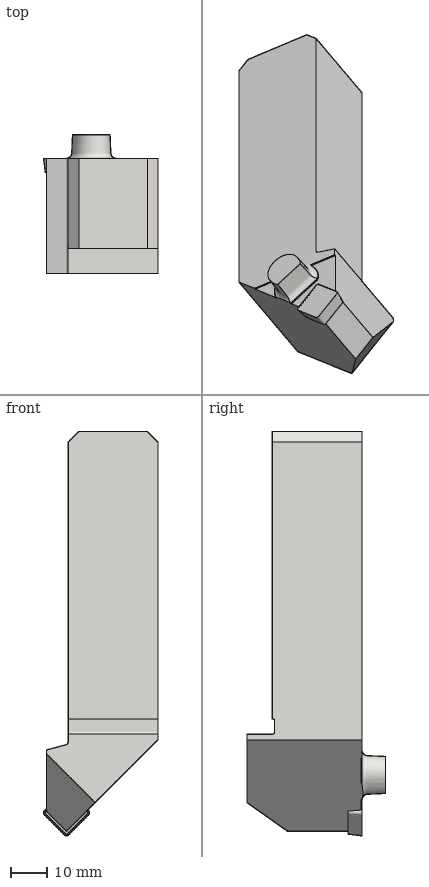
import cadquery as cq
import math

overall_length = 112.33

shank_width = 25.0
end_chamfer = 3.0

head_depth = 32.0
head_left = -6.0
head_shoulder = 23.9
shoulder_slope = 15.0
shoulder_fillet = 0.8
ledge_height = 28.3
ledge_fillet = 0.6
nose_bevel_depth = 11.3
neck_corner_z = head_shoulder - head_left * math.tan(math.radians(shoulder_slope))

relief_depth = 0.65
relief_top = 32.4
relief_fillet = 0.3

step_depth = 0.35
step_top = 21.6

insert_size = 9.525
insert_thickness = 3.97
insert_corner = 0.8
insert_flank_angle = 7.0
insert_left = -6.83
insert_half_diagonal = insert_size / math.sqrt(2) - insert_corner * (math.sqrt(2) - 1)
insert_x = insert_left + insert_half_diagonal
insert_z = insert_half_diagonal

nose_setback = 0.9
nose_x = insert_x
nose_z = nose_setback * math.sqrt(2)
nose_left_z = nose_z + nose_x - head_left
nose_right_z = nose_z + shank_width - nose_x

nozzle_height = 6.54
nozzle_radius = 5.2
nozzle_stretch = 1.3
nozzle_flat_distance = 2.75
nozzle_taper = 2.5
nozzle_angle = 239.0
nozzle_x = 6.8
nozzle_z = 17.2
nozzle_flare = 1.5
nozzle_foot = 1.0

pick_margin = 0.1


def edge_box(x_range, y_range, z_range):
    """Selector for the edges centred in a box, grown by the pick margin."""
    ranges = (x_range, y_range, z_range)
    low = tuple(r[0] - pick_margin for r in ranges)
    high = tuple(r[1] + pick_margin for r in ranges)
    return cq.selectors.BoxSelector(low, high)


def make_shank():
    return (
        cq.Workplane("XY")
        .box(shank_width, shank_width, overall_length - ledge_height, centered=False)
        .translate((0, -shank_width, ledge_height))
        .faces(">Z").edges("|Y").chamfer(end_chamfer)
    )


def head_outline(back_y):
    """Head outline on an XZ plane at back_y that extrudes toward -Y."""
    return cq.Workplane("XZ", origin=(0, back_y, 0)).polyline([
        (head_left, head_shoulder),
        (0, neck_corner_z),
        (0, ledge_height),
        (shank_width, ledge_height),
        (shank_width, nose_right_z),
        (nose_x, nose_z),
        (head_left, nose_left_z),
    ]).close()


def make_nose_bevel():
    """45 degree wedge along the front edge of the nose's left face."""
    return (
        cq.Workplane("XY")
        .polyline([
            (0, -head_depth + nose_bevel_depth),
            (nose_bevel_depth, -head_depth),
            (0, -head_depth),
        ])
        .close()
        .extrude(2 * shank_width, both=True)
        .rotate((0, 0, 0), (0, 1, 0), -45)
        .translate((nose_x, 0, nose_z))
    )


def make_relief():
    relief = (
        cq.Workplane("XY")
        .box(shank_width, relief_depth, relief_top - ledge_height, centered=False)
        .translate((0, -shank_width, ledge_height))
    )
    relief = relief.faces(">Y").edges(">Z").fillet(relief_fillet)
    return relief.faces(">Y").edges("<Z").fillet(ledge_fillet)


def make_back_step():
    return (
        cq.Workplane("XY")
        .box(shank_width - head_left, step_depth, step_top, centered=False)
        .translate((head_left, -step_depth, 0))
    )


def nozzle_profile():
    """Stadium outline with its axis along +X, cut off by the front flat."""
    half_flat = math.sqrt(nozzle_radius**2 - nozzle_flat_distance**2)
    flat_x = nozzle_stretch + nozzle_flat_distance
    corner_angle = math.atan2(half_flat, nozzle_flat_distance)
    middle_angle = (corner_angle + math.pi / 2) / 2
    arc_x = nozzle_stretch + nozzle_radius * math.cos(middle_angle)
    arc_y = nozzle_radius * math.sin(middle_angle)
    return (
        cq.Workplane("XY")
        .moveTo(0, nozzle_radius)
        .threePointArc((-nozzle_radius, 0), (0, -nozzle_radius))
        .lineTo(nozzle_stretch, -nozzle_radius)
        .threePointArc((arc_x, -arc_y), (flat_x, -half_flat))
        .lineTo(flat_x, half_flat)
        .threePointArc((arc_x, arc_y), (nozzle_stretch, nozzle_radius))
        .close()
    )


def make_nozzle():
    """Nozzle flaring out to a foot that is sunk into the head."""
    reach = nozzle_radius + nozzle_stretch
    slab = (
        cq.Workplane("XY")
        .box(4 * reach, 4 * reach, nozzle_foot, centered=(True, True, False))
        .translate((0, 0, -nozzle_foot))
    )
    stem = nozzle_profile().extrude(nozzle_height, taper=nozzle_taper)
    root_edges = edge_box((-reach, reach), (-reach, reach), (0, 0))
    flared = slab.union(stem).edges(root_edges).fillet(nozzle_flare)
    foot_limit = (
        nozzle_profile()
        .offset2D(nozzle_flare)
        .extrude(nozzle_height + nozzle_foot)
        .translate((0, 0, -nozzle_foot))
    )
    return (
        flared.intersect(foot_limit)
        .rotate((0, 0, 0), (0, 0, 1), -nozzle_angle)
        .rotate((0, 0, 0), (1, 0, 0), -90)
        .translate((nozzle_x, 0, nozzle_z))
    )


def make_insert():
    return (
        cq.Workplane("XZ")
        .sketch()
        .rect(insert_size, insert_size)
        .vertices()
        .fillet(insert_corner)
        .finalize()
        .extrude(insert_thickness, taper=insert_flank_angle)
        .rotate((0, 0, 0), (0, 1, 0), 45)
        .translate((insert_x, 0, insert_z))
    )


def make_holder(insert_body):
    """Shank, head and nozzle in one solid, with a seat that fits the insert."""
    head = head_outline(0).extrude(head_depth).cut(make_nose_bevel())
    shank = make_shank()
    holder = head.union(shank)

    neck_corner = edge_box((0, 0), (-head_depth, 0), (neck_corner_z, neck_corner_z))
    holder = holder.edges(neck_corner).fillet(shoulder_fillet)
    holder = holder.cut(make_relief()).cut(make_back_step())

    side_limit = head_outline(nozzle_height).extrude(nozzle_height + head_depth).union(shank)
    holder = holder.union(make_nozzle().intersect(side_limit))
    return holder.cut(insert_body)


insert = make_insert()
holder = make_holder(insert)

result = cq.Compound.makeCompound([*holder.solids().vals(), *insert.solids().vals()])